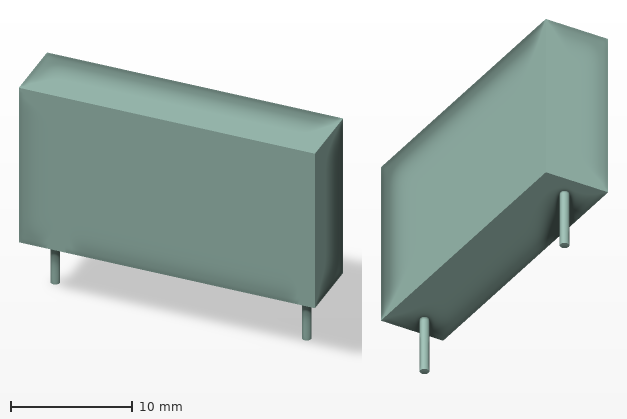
import cadquery as cq

housing_length = 26.5
housing_depth = 6.0
housing_height = 15.0

lead_diameter = 0.8
lead_length = 5.1
lead_spacing = 22.5


def make_housing():
    """Plain rectangular block, standing on the plane Z = 0."""
    return cq.Workplane("XY").box(
        housing_length, housing_depth, housing_height, centered=(True, True, False)
    )


def make_lead(x):
    """Straight round lead hanging from the underside of the housing."""
    return cq.Workplane("XY").center(x, 0).circle(lead_diameter / 2).extrude(-lead_length)


housing = make_housing()
leads = [make_lead(side * lead_spacing / 2) for side in (-1, 1)]

result = cq.Compound.makeCompound([housing.val(), *[lead.val() for lead in leads]])